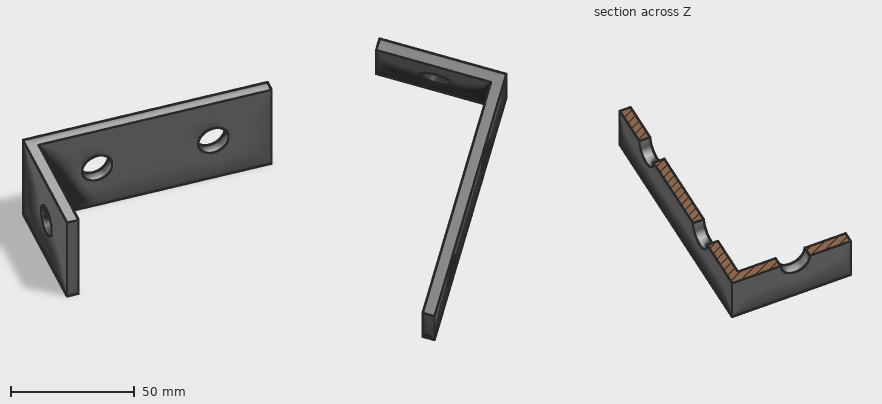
import cadquery as cq

thickness = 5.0
height = 40.0
short_leg_length = 53.4
long_leg_length = 105.15

hole_diameter = 13.0
hole_end_distance = 25.0
hole_pitch = 50.0
hole_z = height / 2

short_leg_hole_x = short_leg_length - hole_end_distance
long_leg_outer_hole_y = long_leg_length - hole_end_distance
long_leg_hole_ys = [long_leg_outer_hole_y - hole_pitch, long_leg_outer_hole_y]


def leg(length_x, length_y):
    """Upright plate with one corner at the origin."""
    return cq.Workplane("XY").box(length_x, length_y, height, centered=False)


def hole_cutter(center, direction):
    """Cylinder that passes through one leg thickness from the outer face."""
    return cq.Workplane(
        cq.Solid.makeCylinder(hole_diameter / 2, thickness, cq.Vector(*center), cq.Vector(*direction))
    )


short_leg = leg(short_leg_length, thickness)
long_leg = leg(thickness, long_leg_length)
result = short_leg.union(long_leg).clean()

result = result.cut(hole_cutter((short_leg_hole_x, 0, hole_z), (0, 1, 0)))

for hole_y in long_leg_hole_ys:
    result = result.cut(hole_cutter((0, hole_y, hole_z), (1, 0, 0)))